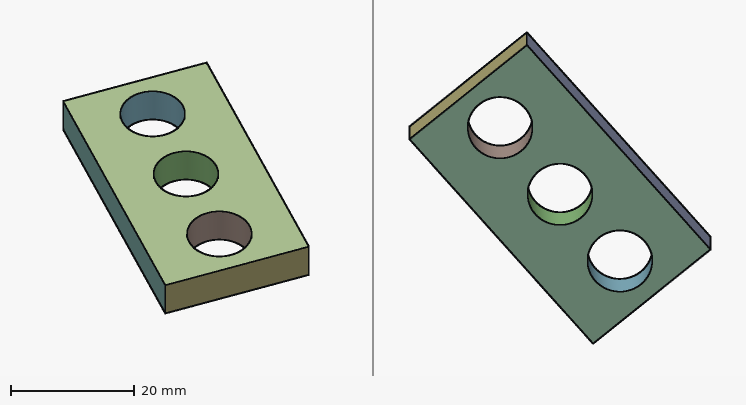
import cadquery as cq

length = 46.0
width = 25.0
thickness = 6.4

hole_count = 3
hole_diameter = 10.5
hole_pitch = 15.0

plate = cq.Workplane("XY").box(length, width, thickness)

result = (
    plate.faces(">Z")
    .workplane()
    .rarray(hole_pitch, 0.45, hole_count, 1)
    .hole(hole_diameter)
)